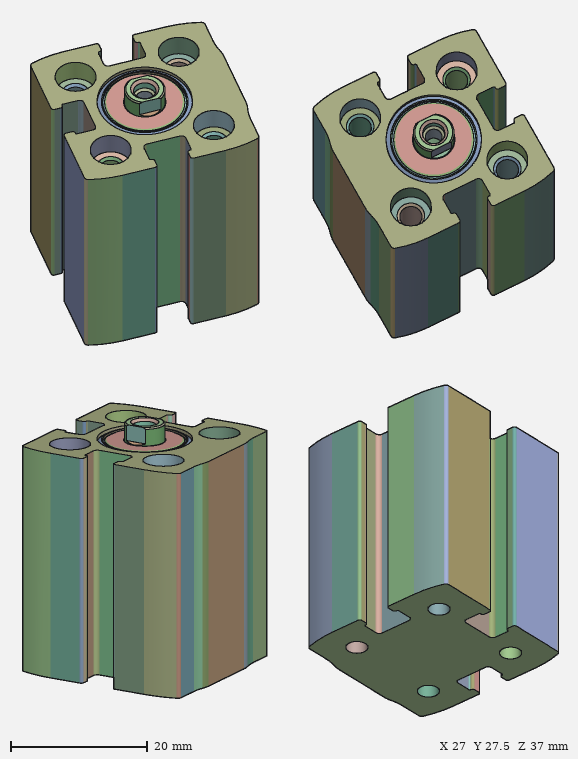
import cadquery as cq
import math

total_height = 37.0
housing_height = 34.5
half_width = 13.5

side_flat_end_y = 8.0
side_curve_radius = 17.02
corner_fillet = 0.6
crown_rise = 0.48
crown_foot_x = 8.45
crown_turn_x = 6.4
crown_flat_x = 5.05

slot_mouth_width = 5.18
slot_inner_width = 6.48
slot_depth = 4.95
slot_lip_thickness = 1.75
slot_lip_fillet = 0.4
slot_lip_root_fillet = 0.2
slot_floor_fillet = 0.65
slot_angles = (0, 90, -90)

mounting_hole_offset = 8.0
counterbore_diameter = 6.0
counterbore_depth = 3.4
mounting_hole_diameter = 3.25
mounting_chamfer_diameter = 4.05

recess_diameter = 14.0
recess_floor_depth = 0.55
crest_outer_diameter = 12.73
crest_inner_diameter = 12.35
crest_depth = 0.2
cover_edge_depth = 0.55
cover_step_diameter = 11.75
cover_step_depth = 0.3
cover_face_diameter = 11.25
cover_depth = 0.22

rod_diameter = 6.0
rod_flat_width = 5.0
rod_flat_runout_angle = 30.0
rod_end_chamfer = 0.22
rod_seat_depth = 7.4
rod_seat_chamfer = 0.1

rod_hole_mouth_diameter = 4.15
rod_hole_diameter = 3.25
rod_hole_mouth_depth = 0.4
rod_hole_depth = 1.48
rod_pilot_diameter = 2.45
rod_pilot_start_depth = 1.75
rod_pilot_depth = 5.18
drill_tip_angle = 118.0

rod_radius = rod_diameter / 2
cover_z = housing_height - cover_depth
rod_bottom_z = cover_z - rod_seat_depth
side_curve_centre_x = half_width - side_curve_radius


def side_curve_x(y):
    """X of the curved part of the +X side at height y above the axis."""
    rise = y - side_flat_end_y
    return side_curve_centre_x + math.sqrt(side_curve_radius**2 - rise**2)


def turned(profile):
    """Solid of revolution about Z from a list of (radius, z) points."""
    return cq.Workplane("XZ").polyline(profile).close().revolve(360, (0, 0), (0, 1))


def fillet_upright_edge(body, x, y, radius):
    """Rounds the housing edge that runs along Z at (x, y)."""
    edge = cq.selectors.NearestToPointSelector((x, y, housing_height / 2))
    return body.edges(edge).fillet(radius)


def housing_blank():
    corner_x = side_curve_x(half_width)
    mid_y = (side_flat_end_y + half_width) / 2
    mid_x = side_curve_x(mid_y)
    crown_y = half_width + crown_rise
    turn_fraction = (crown_foot_x - crown_turn_x) / (crown_foot_x - crown_flat_x)
    turn_y = half_width + crown_rise * turn_fraction
    blank = (
        cq.Workplane("XY")
        .moveTo(-corner_x, -half_width)
        .lineTo(corner_x, -half_width)
        .threePointArc((mid_x, -mid_y), (half_width, -side_flat_end_y))
        .lineTo(half_width, side_flat_end_y)
        .threePointArc((mid_x, mid_y), (corner_x, half_width))
        .lineTo(crown_foot_x, half_width)
        .tangentArcPoint((crown_turn_x, turn_y), relative=False)
        .tangentArcPoint((crown_flat_x, crown_y), relative=False)
        .lineTo(-crown_flat_x, crown_y)
        .tangentArcPoint((-crown_turn_x, turn_y), relative=False)
        .tangentArcPoint((-crown_foot_x, half_width), relative=False)
        .lineTo(-corner_x, half_width)
        .threePointArc((-mid_x, mid_y), (-half_width, side_flat_end_y))
        .lineTo(-half_width, -side_flat_end_y)
        .threePointArc((-mid_x, -mid_y), (-corner_x, -half_width))
        .close()
        .extrude(housing_height)
    )
    for x in (-corner_x, corner_x):
        for y in (-half_width, half_width):
            blank = fillet_upright_edge(blank, x, y, corner_fillet)
    return blank


def slot_cutter():
    """T-slot opening through the -Y side."""
    chamber_y = -half_width + (slot_lip_thickness + slot_depth) / 2
    chamber = (
        cq.Workplane("XY")
        .center(0, chamber_y)
        .rect(slot_inner_width, slot_depth - slot_lip_thickness)
        .extrude(housing_height)
        .edges("|Z and >Y")
        .fillet(slot_floor_fillet)
        .edges("|Z and <Y")
        .fillet(slot_lip_root_fillet)
    )
    mouth = (
        cq.Workplane("XY")
        .center(0, -half_width + slot_depth / 4)
        .rect(slot_mouth_width, slot_depth / 2)
        .extrude(housing_height)
    )
    return chamber.union(mouth)


def cut_slots(body):
    cutter = slot_cutter()
    for angle in slot_angles:
        body = body.cut(cutter.rotate((0, 0, 0), (0, 0, 1), angle))
        cosine = math.cos(math.radians(angle))
        sine = math.sin(math.radians(angle))
        for lip_x in (-slot_mouth_width / 2, slot_mouth_width / 2):
            for lip_y in (-half_width, -half_width + slot_lip_thickness):
                edge_x = lip_x * cosine - lip_y * sine
                edge_y = lip_x * sine + lip_y * cosine
                body = fillet_upright_edge(body, edge_x, edge_y, slot_lip_fillet)
    return body


def mounting_hole_cutter():
    """Through hole with a 45 degree chamfer at the floor of its counterbore."""
    hole_radius = mounting_hole_diameter / 2
    chamfer_radius = mounting_chamfer_diameter / 2
    counterbore_radius = counterbore_diameter / 2
    floor_z = housing_height - counterbore_depth
    chamfer_bottom_z = floor_z - (chamfer_radius - hole_radius)
    return turned([
        (0, 0),
        (hole_radius, 0),
        (hole_radius, chamfer_bottom_z),
        (chamfer_radius, floor_z),
        (counterbore_radius, floor_z),
        (counterbore_radius, housing_height),
        (0, housing_height),
    ])


def cut_mounting_holes(body):
    cutter = mounting_hole_cutter()
    for x in (-mounting_hole_offset, mounting_hole_offset):
        for y in (-mounting_hole_offset, mounting_hole_offset):
            body = body.cut(cutter.translate((x, y, 0)))
    return body


def cover_recess_cutter():
    """Space above the cover face, its sloping edge, the flat crest and the sloping outer ring."""
    return turned([
        (0, housing_height),
        (0, cover_z),
        (cover_face_diameter / 2, cover_z),
        (cover_step_diameter / 2, housing_height - cover_step_depth),
        (crest_inner_diameter / 2, housing_height - cover_edge_depth),
        (crest_inner_diameter / 2, housing_height - crest_depth),
        (crest_outer_diameter / 2, housing_height - crest_depth),
        (recess_diameter / 2, housing_height - recess_floor_depth),
        (recess_diameter / 2, housing_height),
    ])


def rod_seat_cutter():
    """Blind hole that fits the rod, chamfered where it meets the cover face."""
    return turned([
        (0, rod_bottom_z),
        (rod_radius, rod_bottom_z),
        (rod_radius, cover_z - rod_seat_chamfer),
        (rod_radius + rod_seat_chamfer, cover_z),
        (0, cover_z),
    ])


def make_housing():
    body = cut_slots(housing_blank())
    body = cut_mounting_holes(body)
    return body.cut(cover_recess_cutter()).cut(rod_seat_cutter())


def rod_flat_cutter():
    """Material beside the +X flat, above the slope that ends at the cover face."""
    flat_x = rod_flat_width / 2
    runout_rise = (rod_radius - flat_x) * math.tan(math.radians(rod_flat_runout_angle))
    profile = [
        (flat_x, total_height),
        (flat_x, cover_z + runout_rise),
        (rod_radius, cover_z),
        (rod_radius, total_height),
    ]
    return cq.Workplane("XZ").polyline(profile).close().extrude(rod_radius, both=True)


def rod_hole_cutter():
    hole_radius = rod_hole_diameter / 2
    pilot_radius = rod_pilot_diameter / 2
    tip_length = pilot_radius / math.tan(math.radians(drill_tip_angle / 2))
    return turned([
        (0, total_height),
        (rod_hole_mouth_diameter / 2, total_height),
        (hole_radius, total_height - rod_hole_mouth_depth),
        (hole_radius, total_height - rod_hole_depth),
        (pilot_radius, total_height - rod_pilot_start_depth),
        (pilot_radius, total_height - rod_pilot_depth),
        (0, total_height - rod_pilot_depth - tip_length),
    ])


def make_rod():
    body = (
        cq.Workplane("XY")
        .workplane(offset=rod_bottom_z)
        .circle(rod_radius)
        .extrude(total_height - rod_bottom_z)
        .faces(">Z")
        .chamfer(rod_end_chamfer)
    )
    flat = rod_flat_cutter()
    for angle in (0, 180):
        body = body.cut(flat.rotate((0, 0, 0), (0, 0, 1), angle))
    return body.cut(rod_hole_cutter())


housing = make_housing()
rod = make_rod()
result = cq.Compound.makeCompound([housing.solids().val(), rod.solids().val()])